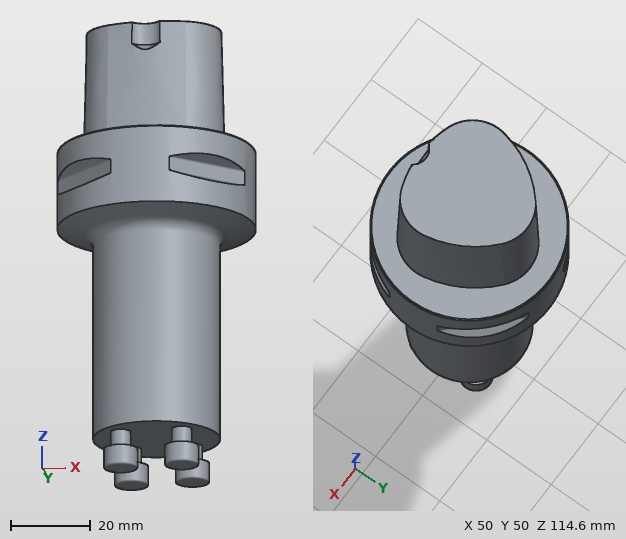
import cadquery as cq
import math

total_length = 114.6

shank_height = 30.0
lobe_reach = 18.8
lobe_radius = 11.6
flat_reach = 16.3
shank_taper = 1 / 40
lobe_directions = [90, 210, 330]

keyway_radius = 4.4
keyway_axis_y = -17.9
keyway_depth = 5.6
keyway_tip_half_angle = 50

flange_diameter = 50.0
flange_height = 20.0
flange_chamfer = 0.3
underside_slope = 15
neck_radius = 3.0
body_diameter = 32.0
body_bottom = -75.0

groove_z = -flange_height / 2
groove_floor_width = 3.5
groove_floor_distance = 22.1
groove_flank_angle = 30
groove_corner_radius = 0.6
groove_overrun = 1.1

screw_circle_diameter = 22.0
screw_shank_diameter = 5.0
screw_head_diameter = 8.5
screw_head_height = 5.0
screw_edge_radius = 0.5
screw_bottom = shank_height - total_length

diagonals = [45, 135, 225, 315]


def polar(radius, angle):
    """Plane vector of the given length at an angle in degrees from +X."""
    return cq.Vector(radius * math.cos(math.radians(angle)), radius * math.sin(math.radians(angle)))


def polygon_wire(z):
    """Closed outline at height z: three lobe arcs joined tangentially by three flatter arcs."""
    inset = shank_taper * z
    height = cq.Vector(0, 0, z)
    lobe_offset = lobe_reach - lobe_radius
    reach_gap = flat_reach - lobe_radius
    flat_offset = (lobe_offset**2 - reach_gap**2) / (2 * reach_gap - lobe_offset)
    flat_radius = flat_reach + flat_offset

    def corner(lobe, flat):
        """Tangent point between a lobe arc and the flat arc next to it."""
        flat_center = polar(-flat_offset, flat)
        toward_lobe = (polar(lobe_offset, lobe) - flat_center).normalized()
        return flat_center + toward_lobe * (flat_radius - inset) + height

    edges = []
    for lobe in lobe_directions:
        lobe_start = corner(lobe, lobe - 60)
        lobe_end = corner(lobe, lobe + 60)
        next_lobe_start = corner(lobe + 120, lobe + 60)
        lobe_tip = polar(lobe_reach - inset, lobe) + height
        flat_middle = polar(flat_reach - inset, lobe + 60) + height
        edges.append(cq.Edge.makeThreePointArc(lobe_start, lobe_tip, lobe_end))
        edges.append(cq.Edge.makeThreePointArc(lobe_end, flat_middle, next_lobe_start))
    return cq.Wire.assembleEdges(edges)


def make_shank():
    outlines = [polygon_wire(0), polygon_wire(shank_height)]
    return cq.Workplane(cq.Solid.makeLoft(outlines, True))


def make_keyway():
    """Cylindrical cut with a conical tip, entering from the top of the shank."""
    shoulder_z = shank_height - keyway_depth
    tip_z = shoulder_z - keyway_radius / math.tan(math.radians(keyway_tip_half_angle))
    profile = (
        cq.Workplane("XZ")
        .moveTo(0, tip_z)
        .lineTo(keyway_radius, shoulder_z)
        .lineTo(keyway_radius, shank_height)
        .lineTo(0, shank_height)
        .close()
    )
    return profile.revolve(360, (0, 0, 0), (0, 1, 0)).translate((0, keyway_axis_y, 0))


def make_body():
    """Flange, sloping underside, rounded neck and cylindrical body in one turned profile."""
    slope = math.radians(underside_slope)
    flange_radius = flange_diameter / 2
    body_radius = body_diameter / 2
    neck_center_r = body_radius + neck_radius
    neck_top_r = neck_center_r - neck_radius * math.sin(slope)
    neck_top_z = -flange_height - (flange_radius - neck_top_r) * math.tan(slope)
    neck_bottom_z = neck_top_z - neck_radius * math.cos(slope)
    mid_angle = (math.pi / 2 - slope) / 2
    neck_mid = (
        neck_center_r - neck_radius * math.cos(mid_angle),
        neck_bottom_z + neck_radius * math.sin(mid_angle),
    )
    return (
        cq.Workplane("XZ")
        .lineTo(flange_radius - flange_chamfer, 0)
        .lineTo(flange_radius, -flange_chamfer)
        .lineTo(flange_radius, -flange_height)
        .lineTo(neck_top_r, neck_top_z)
        .threePointArc(neck_mid, (body_radius, neck_bottom_z))
        .lineTo(body_radius, body_bottom)
        .lineTo(0, body_bottom)
        .close()
        .revolve(360, (0, 0, 0), (0, 1, 0))
    )


def make_groove(angle):
    """Straight groove with flaring flanks and rounded floor corners, cut across one diagonal."""
    depth = flange_diameter / 2 - groove_floor_distance + groove_overrun
    flare = depth * math.tan(math.radians(groove_flank_angle))
    half_floor = groove_floor_width / 2
    outer_r = groove_floor_distance + depth
    return (
        cq.Workplane("XZ")
        .moveTo(groove_floor_distance, groove_z - half_floor)
        .lineTo(outer_r, groove_z - half_floor - flare)
        .lineTo(outer_r, groove_z + half_floor + flare)
        .lineTo(groove_floor_distance, groove_z + half_floor)
        .close()
        .extrude(flange_diameter / 2, both=True)
        .edges("<X and |Y")
        .fillet(groove_corner_radius)
        .rotate((0, 0, 0), (0, 0, 1), angle)
    )


def make_screw(angle):
    """Cap screw standing out of the bottom of the body."""
    head = (
        cq.Workplane("XY", origin=(0, 0, screw_bottom))
        .circle(screw_head_diameter / 2)
        .extrude(screw_head_height)
        .faces("<Z")
        .edges()
        .fillet(screw_edge_radius)
    )
    shank_bottom = screw_bottom + screw_head_height
    shank = (
        cq.Workplane("XY", origin=(0, 0, shank_bottom))
        .circle(screw_shank_diameter / 2)
        .extrude(body_bottom - shank_bottom)
    )
    screw = head.union(shank).translate((screw_circle_diameter / 2, 0, 0))
    return screw.rotate((0, 0, 0), (0, 0, 1), angle)


result = make_body().union(make_shank().cut(make_keyway()))
for diagonal in diagonals:
    result = result.cut(make_groove(diagonal)).union(make_screw(diagonal))